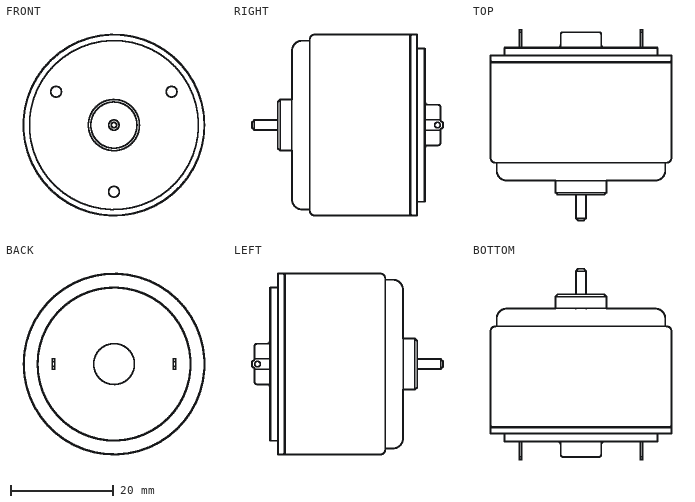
import cadquery as cq
import math


can_diameter = 35.4
can_length = 21.05
can_front_fillet = 1.0
rear_edge_chamfer = 0.1
rim_width = 1.25
groove_width = 0.2
groove_diameter = 35.0

cap_diameter = 33.0
cap_length = 3.47
cap_fillet = 2.0
bushing_diameter = 10.0
bushing_length = 2.8
bushing_chamfer = 0.5
shaft_diameter = 2.0
shaft_length = 5.0
shaft_chamfer = 0.5

cover_diameter = 30.0
cover_length = 1.5
boss_diameter = 8.0
boss_length = 3.02
boss_fillet = 0.52

hole_diameter = 2.1
hole_depth = 2.0
hole_tip_angle = 118
hole_circle_radius = 13.0
hole_angles = (30, 150, 270)

terminal_spacing = 23.57
terminal_thickness = 0.5
terminal_width = 2.0
terminal_length = 3.5
terminal_chamfer = 0.55
terminal_hole_diameter = 1.1
terminal_hole_setback = 1.1

cap_front = -cap_length
bushing_front = cap_front - bushing_length
cover_rear = can_length + cover_length
embed = 0.37


def cylinder(diameter, start, end):
    """Cylinder on the motor axis, from y = start to y = end."""
    circle = cq.Workplane("XZ", origin=(0, start, 0)).circle(diameter / 2)
    return circle.extrude(start - end)


def make_can():
    can = cylinder(can_diameter, 0, can_length)
    can = can.faces("<Y").edges().fillet(can_front_fillet)
    can = can.faces(">Y").edges().chamfer(rear_edge_chamfer)
    groove_rear = can_length - rim_width
    groove_front = groove_rear - groove_width
    band = cylinder(can_diameter + embed, groove_front, groove_rear)
    return can.cut(band.cut(cylinder(groove_diameter, groove_front, groove_rear)))


def make_front_cap():
    cap = cylinder(cap_diameter, cap_front, embed)
    return cap.faces("<Y").edges().fillet(cap_fillet)


def make_bushing():
    bushing = cylinder(bushing_diameter, bushing_front, cap_front + embed)
    return bushing.faces("<Y").edges().chamfer(bushing_chamfer)


def make_shaft():
    shaft = cylinder(shaft_diameter, bushing_front - shaft_length, bushing_front + embed)
    return shaft.faces("<Y").edges().chamfer(shaft_chamfer)


def make_rear_cover():
    """Cover with the bearing boss: rounded at its end, flared at its base."""
    boss_radius = boss_diameter / 2
    boss_rear = cover_rear + boss_length
    corner = boss_fillet * math.sqrt(0.5)
    rounding_middle = (boss_radius - boss_fillet + corner, boss_rear - boss_fillet + corner)
    flare_middle = (boss_radius + boss_fillet - corner, cover_rear + boss_fillet - corner)
    return (
        cq.Workplane("XY")
        .moveTo(0, can_length - embed)
        .lineTo(cover_diameter / 2, can_length - embed)
        .lineTo(cover_diameter / 2, cover_rear - rear_edge_chamfer)
        .lineTo(cover_diameter / 2 - rear_edge_chamfer, cover_rear)
        .lineTo(boss_radius + boss_fillet, cover_rear)
        .threePointArc(flare_middle, (boss_radius, cover_rear + boss_fillet))
        .lineTo(boss_radius, boss_rear - boss_fillet)
        .threePointArc(rounding_middle, (boss_radius - boss_fillet, boss_rear))
        .lineTo(0, boss_rear)
        .close()
        .revolve(360, (0, 0, 0), (0, 1, 0))
    )


def make_screw_hole(angle):
    """Blind drilled hole with a conical bottom, at an angle around the axis."""
    radius = hole_diameter / 2
    tip = radius / math.tan(math.radians(hole_tip_angle / 2))
    hole = (
        cq.Workplane("XY")
        .moveTo(0, cap_front)
        .lineTo(radius, cap_front)
        .lineTo(radius, cap_front + hole_depth)
        .lineTo(0, cap_front + hole_depth + tip)
        .close()
        .revolve(360, (0, 0, 0), (0, 1, 0))
    )
    x = hole_circle_radius * math.cos(math.radians(angle))
    z = hole_circle_radius * math.sin(math.radians(angle))
    return hole.translate((x, 0, z))


def make_terminal(x):
    """Flat solder tab with a chamfered end and a wire hole, centred on x."""
    end = cover_rear + terminal_length
    length = terminal_length + embed
    tab = (
        cq.Workplane("XY")
        .box(terminal_thickness, length, terminal_width)
        .translate((x, end - length / 2, 0))
        .faces(">Y")
        .edges("|X")
        .chamfer(terminal_chamfer)
    )
    hole = (
        cq.Workplane("YZ", origin=(x, 0, 0))
        .center(end - terminal_hole_setback, 0)
        .circle(terminal_hole_diameter / 2)
        .extrude(terminal_thickness, both=True)
    )
    return tab.cut(hole)


result = make_can()
for body in (make_front_cap(), make_bushing(), make_shaft(), make_rear_cover()):
    result = result.union(body)
for side in (-1, 1):
    result = result.union(make_terminal(side * terminal_spacing / 2))
for hole_angle in hole_angles:
    result = result.cut(make_screw_hole(hole_angle))